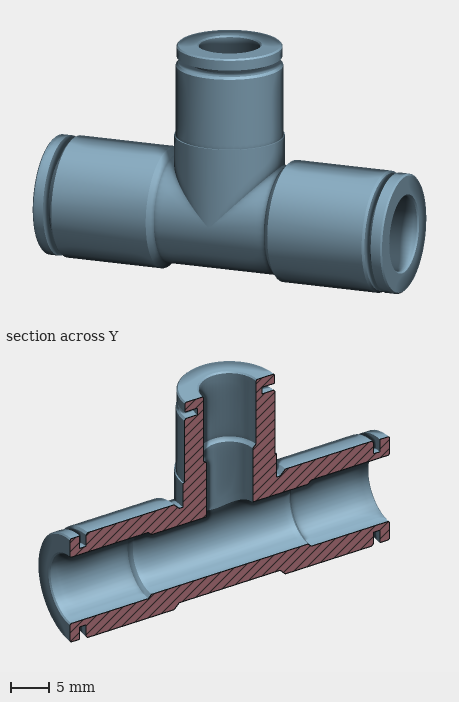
import cadquery as cq

run_length = 49.0
core_diameter = 14.4

run_body_diameter = 16.0
overall_height = 31.0
branch_height = overall_height - run_body_diameter / 2

collar_thickness = 1.5
body_start = 2.45
rim_chamfer = 0.2
body_chamfer = 0.3

RUN_PORT = dict(
    height=run_length / 2,
    collar_diameter=15.8,
    neck_diameter=12.0,
    body_diameter=run_body_diameter,
    body_end=15.95,
    socket_diameter=10.0,
    passage_diameter=9.0,
    seat_depth=12.0,
)
BRANCH_PORT = dict(
    height=branch_height,
    collar_diameter=13.8,
    neck_diameter=10.0,
    body_diameter=14.0,
    body_end=12.2,
    socket_diameter=8.0,
    passage_diameter=7.0,
    seat_depth=9.8,
)


def revolve_profile(points):
    """Revolve a (radius, height) outline about the Z axis."""
    return cq.Workplane("XZ").polyline(points).close().revolve(360, (0, 0), (0, 1))


def port_outside(port):
    """Outside of an upright port, from its mouth down to the tee centre.

    Release collar, neck and body, then the core tube. A body wider than the
    core narrows through a 45 degree shoulder; a slimmer one meets a flat step.
    """
    mouth = port["height"]
    collar_radius = port["collar_diameter"] / 2
    collar_bottom = mouth - collar_thickness
    neck_radius = port["neck_diameter"] / 2
    body_radius = port["body_diameter"] / 2
    body_top = mouth - body_start
    body_bottom = mouth - port["body_end"]
    core_radius = core_diameter / 2
    shoulder_drop = max(body_radius - core_radius, 0)
    return revolve_profile([
        (0, mouth),
        (collar_radius - rim_chamfer, mouth),
        (collar_radius, mouth - rim_chamfer),
        (collar_radius, collar_bottom),
        (neck_radius, collar_bottom),
        (neck_radius, body_top),
        (body_radius - body_chamfer, body_top),
        (body_radius, body_top - body_chamfer),
        (body_radius, body_bottom),
        (core_radius, body_bottom - shoulder_drop),
        (core_radius, 0),
        (0, 0),
    ])


def port_bore(port):
    """Tube socket with a chamfered mouth and a 45 degree seat, open to the tee centre."""
    mouth = port["height"]
    socket_radius = port["socket_diameter"] / 2
    passage_radius = port["passage_diameter"] / 2
    seat_top = mouth - port["seat_depth"]
    seat_bottom = seat_top - (socket_radius - passage_radius)
    return revolve_profile([
        (0, mouth),
        (socket_radius + rim_chamfer, mouth),
        (socket_radius, mouth - rim_chamfer),
        (socket_radius, seat_top),
        (passage_radius, seat_bottom),
        (passage_radius, 0),
        (0, 0),
    ])


def at_both_ends(upright):
    """Lay an upright solid along +X and along -X."""
    right = upright.rotate((0, 0, 0), (0, 1, 0), 90)
    left = upright.rotate((0, 0, 0), (0, 1, 0), -90)
    return right.union(left)


run = at_both_ends(port_outside(RUN_PORT))
branch = port_outside(BRANCH_PORT)
run_bore = at_both_ends(port_bore(RUN_PORT))
branch_bore = port_bore(BRANCH_PORT)

result = run.union(branch).cut(run_bore).cut(branch_bore)